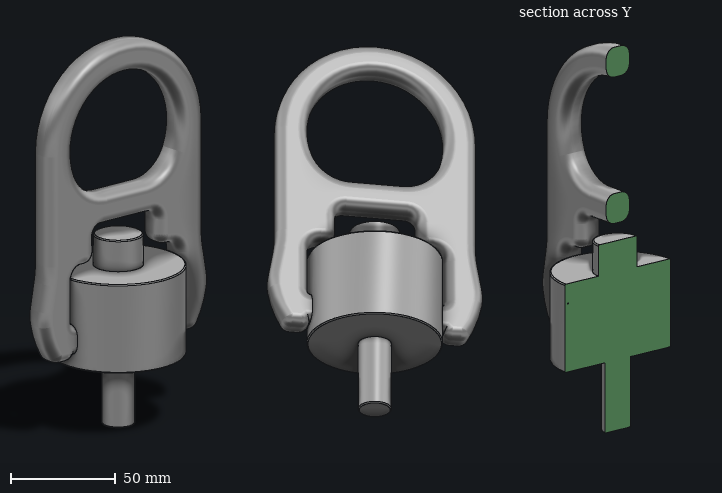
import cadquery as cq
import math

QUARTER_TURN = math.pi / 2

STUD_BOTTOM = 0.0
BODY_BOTTOM = 35.2
BODY_TOP = 79.7
HEAD_TOP = 95.3
RING_TOP = 192.6

BODY_DIAMETER = 65.0
HEAD_DIAMETER = 24.0
STUD_DIAMETER = 16.0
EDGE_CHAMFER = 0.5

RING_THICKNESS = 14.5
EDGE_ROUND = 5.2
RING_RADIUS = 48.5
RING_CENTER_Z = RING_TOP - RING_RADIUS

EYE_RADIUS = 33.3
EYE_FLAT_Z = 119.2
EYE_FLAT_HALF = 12.5

FLARE_ANGLE = math.radians(10)
TUCK_ANGLE = math.radians(10)
LEG_STRAIGHT_END_Z = 89.0
FLARE_RADIUS = 50.0
BULGE_RADIUS = 23.1
BULGE_HALF_WIDTH = 52.0
TUCK_RADIUS = 50.0
FOOT_RADIUS = 5.0
FOOT_BOTTOM_Z = 39.5
FOOT_INNER_Y = 36.8
RISE_ANGLE = -1.5 * QUARTER_TURN

ARCH_TOP_Z = 104.0
ARCH_HALF_WIDTH = 19.8
ARCH_RADIUS = 5.0
SHOULDER_Z = 85.9
SHOULDER_OUTER_RADIUS = 6.2
SHOULDER_INNER_RADIUS = 5.4
LEG_INNER_HALF_WIDTH = 33.3

HOOK_TOP_Z = 57.2
HOOK_BOTTOM_Z = 41.6
HOOK_CORNER_RADIUS = 1.5
HOOK_END_Y = 19.3


def on_circle(center, radius, angle):
    """Point on a circle, the angle counted from +Y towards +Z."""
    return (center[0] + radius * math.cos(angle), center[1] + radius * math.sin(angle))


def add_arc(outline, center, radius, start, end):
    """Continue the outline along a circle, from its start angle to its end angle."""
    middle = on_circle(center, radius, (start + end) / 2)
    return outline.threePointArc(middle, on_circle(center, radius, end))


def turned_core():
    """Stud, body and head as cylinders on one axis."""
    def cylinder(diameter, bottom, top):
        return cq.Workplane("XY").workplane(offset=bottom).circle(diameter / 2).extrude(top - bottom)

    stud = cylinder(STUD_DIAMETER, STUD_BOTTOM, BODY_BOTTOM).faces("<Z").chamfer(EDGE_CHAMFER)
    body = cylinder(BODY_DIAMETER, BODY_BOTTOM, BODY_TOP).faces("<Z or >Z").chamfer(EDGE_CHAMFER)
    head = cylinder(HEAD_DIAMETER, BODY_TOP, HEAD_TOP).faces(">Z").chamfer(EDGE_CHAMFER)
    return body.union(stud).union(head)


def half_plate():
    """The +Y half of the ring plate, without the eye."""
    flare_center = (RING_RADIUS + FLARE_RADIUS, LEG_STRAIGHT_END_Z)
    flare_end = on_circle(flare_center, FLARE_RADIUS, math.pi + FLARE_ANGLE)

    bulge_center_y = BULGE_HALF_WIDTH - BULGE_RADIUS
    bulge_start_y = bulge_center_y + BULGE_RADIUS * math.cos(FLARE_ANGLE)
    bulge_start_z = flare_end[1] - (bulge_start_y - flare_end[0]) / math.tan(FLARE_ANGLE)
    bulge_center = (bulge_center_y, bulge_start_z - BULGE_RADIUS * math.sin(FLARE_ANGLE))

    tuck_center = on_circle(bulge_center, BULGE_RADIUS - TUCK_RADIUS, -TUCK_ANGLE)
    foot_center_z = FOOT_BOTTOM_Z + FOOT_RADIUS
    foot_angle = math.asin((tuck_center[1] - foot_center_z) / (TUCK_RADIUS - FOOT_RADIUS))
    foot_center = on_circle(tuck_center, TUCK_RADIUS - FOOT_RADIUS, -foot_angle)

    inner_foot_center = (FOOT_INNER_Y, foot_center_z)
    rise_start = on_circle(inner_foot_center, FOOT_RADIUS, RISE_ANGLE)
    rise_end_y = rise_start[0] - (HOOK_BOTTOM_Z - rise_start[1])

    outline = cq.Workplane("YZ").moveTo(0, RING_TOP)
    outline = add_arc(outline, (0, RING_CENTER_Z), RING_RADIUS, QUARTER_TURN, 0)
    outline = outline.lineTo(RING_RADIUS, LEG_STRAIGHT_END_Z)
    outline = add_arc(outline, flare_center, FLARE_RADIUS, math.pi, math.pi + FLARE_ANGLE)
    outline = outline.lineTo(bulge_start_y, bulge_start_z)
    outline = add_arc(outline, bulge_center, BULGE_RADIUS, FLARE_ANGLE, -TUCK_ANGLE)
    outline = add_arc(outline, tuck_center, TUCK_RADIUS, -TUCK_ANGLE, -foot_angle)
    outline = add_arc(outline, foot_center, FOOT_RADIUS, -foot_angle, -QUARTER_TURN)

    outline = outline.lineTo(FOOT_INNER_Y, FOOT_BOTTOM_Z)
    outline = add_arc(outline, inner_foot_center, FOOT_RADIUS, -QUARTER_TURN, RISE_ANGLE)
    outline = outline.lineTo(rise_end_y, HOOK_BOTTOM_Z)
    outline = outline.lineTo(HOOK_END_Y, HOOK_BOTTOM_Z).lineTo(HOOK_END_Y, HOOK_TOP_Z)

    hook_corner = (LEG_INNER_HALF_WIDTH - HOOK_CORNER_RADIUS, HOOK_TOP_Z + HOOK_CORNER_RADIUS)
    outer_corner = (LEG_INNER_HALF_WIDTH - SHOULDER_OUTER_RADIUS, SHOULDER_Z - SHOULDER_OUTER_RADIUS)
    inner_corner = (ARCH_HALF_WIDTH + SHOULDER_INNER_RADIUS, SHOULDER_Z + SHOULDER_INNER_RADIUS)
    arch_corner = (ARCH_HALF_WIDTH - ARCH_RADIUS, ARCH_TOP_Z - ARCH_RADIUS)
    outline = outline.lineTo(hook_corner[0], HOOK_TOP_Z)
    outline = add_arc(outline, hook_corner, HOOK_CORNER_RADIUS, -QUARTER_TURN, 0)
    outline = outline.lineTo(LEG_INNER_HALF_WIDTH, outer_corner[1])
    outline = add_arc(outline, outer_corner, SHOULDER_OUTER_RADIUS, 0, QUARTER_TURN)
    outline = outline.lineTo(inner_corner[0], SHOULDER_Z)
    outline = add_arc(outline, inner_corner, SHOULDER_INNER_RADIUS, -QUARTER_TURN, -math.pi)
    outline = outline.lineTo(ARCH_HALF_WIDTH, arch_corner[1])
    outline = add_arc(outline, arch_corner, ARCH_RADIUS, 0, QUARTER_TURN)
    outline = outline.lineTo(0, ARCH_TOP_Z).close()
    return outline.extrude(RING_THICKNESS / 2, both=True)


def eye():
    """Through opening of the ring."""
    drop = RING_CENTER_Z - EYE_FLAT_Z
    blend_radius = (EYE_RADIUS**2 - EYE_FLAT_HALF**2 - drop**2) / (2 * (EYE_RADIUS - drop))
    blend_z = EYE_FLAT_Z + blend_radius
    touch_angle = math.atan2(blend_z - RING_CENTER_Z, EYE_FLAT_HALF)
    center = (0, RING_CENTER_Z)

    outline = cq.Workplane("YZ").moveTo(-EYE_FLAT_HALF, EYE_FLAT_Z).lineTo(EYE_FLAT_HALF, EYE_FLAT_Z)
    outline = add_arc(outline, (EYE_FLAT_HALF, blend_z), blend_radius, -QUARTER_TURN, touch_angle)
    outline = add_arc(outline, center, EYE_RADIUS, touch_angle, math.pi - touch_angle)
    left_center = (-EYE_FLAT_HALF, blend_z)
    outline = add_arc(outline, left_center, blend_radius, math.pi - touch_angle, 3 * QUARTER_TURN)
    return outline.close().extrude(RING_THICKNESS / 2, both=True)


def lifting_ring():
    """Both halves of the plate with the eye cut through and every face edge rounded."""
    half = half_plate()
    plate = half.union(half.mirror("XZ")).clean().cut(eye())
    return plate.faces("<X or >X").edges().fillet(EDGE_ROUND)


result = turned_core().union(lifting_ring())